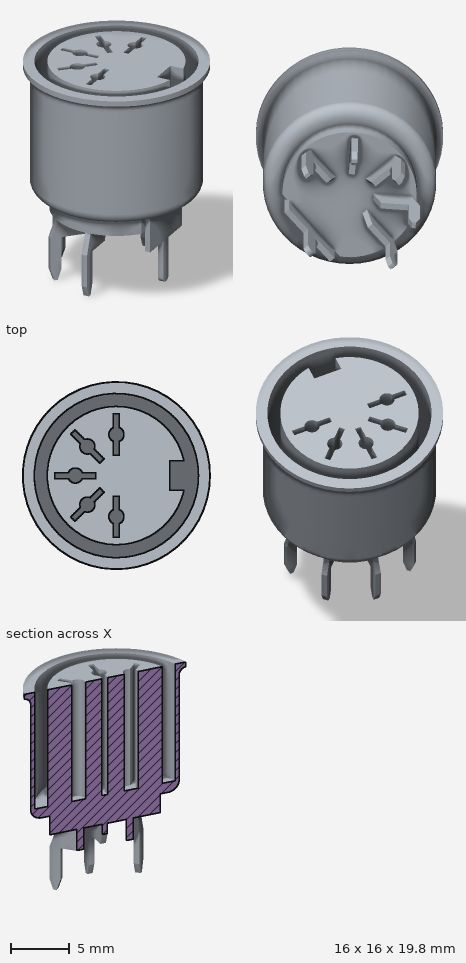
import cadquery as cq
import math

total_height = 19.8
shell_bottom = 7.76
boss_bottom = 6.0
shelf_height = 4.0
tip_height = 0.99

flange_radius = 8.0
flange_thickness = 0.5
shell_radius = 7.4
wall = 0.4
bend_radius = flange_radius - shell_radius
base_fillet = 1.0
cavity_radius = shell_radius - wall
cavity_floor = shell_bottom + base_fillet

insert_radius = 5.9
boss_radius = 5.75
boss_flat_x = 4.32

key_width = 2.51
key_inner_x = 4.53

sheet = 0.51
contact_radius = 3.5
contact_hole_diameter = 1.29
slot_length = 3.5
contact_angles = [90, 135, 180, 225, 270]

pin_outer_radius = 6.0
pin_width = 0.99
pin_tip_width = 0.32
crank_offset = 0.71
blade_inner_radius = 2.7

tab_outer_x = 4.75
tab_width = 5.94


def make_shell():
    """Revolve the cup section, with its rounded base and flared flange."""
    diagonal = math.sqrt(0.5)
    flange_underside = total_height - flange_thickness
    bend_start = flange_underside - bend_radius
    base_centre = (shell_radius - base_fillet, shell_bottom + base_fillet)
    base_middle = (
        base_centre[0] + base_fillet * diagonal,
        base_centre[1] - base_fillet * diagonal,
    )
    bend_middle = (
        flange_radius - bend_radius * diagonal,
        bend_start + bend_radius * diagonal,
    )
    section = (
        cq.Workplane("XZ")
        .moveTo(0, shell_bottom)
        .lineTo(base_centre[0], shell_bottom)
        .threePointArc(base_middle, (shell_radius, base_centre[1]))
        .lineTo(shell_radius, bend_start)
        .threePointArc(bend_middle, (flange_radius, flange_underside))
        .lineTo(flange_radius, total_height)
        .lineTo(cavity_radius, total_height)
        .lineTo(cavity_radius, cavity_floor)
        .lineTo(0, cavity_floor)
        .close()
    )
    return section.revolve(360, (0, 0), (0, 1))


def make_insert():
    """Cylinder flush with the flange, with a keyway and five contact openings."""
    depth = total_height - cavity_floor
    insert = cq.Workplane("XY").workplane(offset=shell_bottom).circle(insert_radius)
    insert = insert.extrude(total_height - shell_bottom)
    key_length = insert_radius - key_inner_x
    opening_plane = cq.Workplane("XY").workplane(offset=cavity_floor)
    keyway = (
        opening_plane.center(key_inner_x + key_length / 2, 0)
        .rect(key_length, key_width)
        .extrude(depth)
    )
    contact_centre = opening_plane.center(contact_radius, 0)
    slot = contact_centre.rect(slot_length, sheet).extrude(depth)
    opening = contact_centre.circle(contact_hole_diameter / 2).extrude(depth).union(slot)
    insert = insert.cut(keyway)
    for angle in contact_angles:
        insert = insert.cut(opening.rotate((0, 0, 0), (0, 0, 1), angle))
    return insert


def make_boss():
    """Short cylinder below the shell with a flat on its +X side."""
    height = shell_bottom - boss_bottom
    boss = cq.Workplane("XY").workplane(offset=boss_bottom).circle(boss_radius).extrude(height)
    keep_length = boss_radius + boss_flat_x
    keep = (
        cq.Workplane("XY")
        .workplane(offset=boss_bottom)
        .center(boss_flat_x - keep_length / 2, 0)
        .rect(keep_length, 2 * boss_radius)
        .extrude(height)
    )
    return boss.intersect(keep)


def make_blade():
    """Contact blade lying along +X."""
    pin_centre = pin_outer_radius - pin_width / 2
    pin_inner = pin_outer_radius - pin_width
    outline = [
        (pin_outer_radius - crank_offset, boss_bottom),
        (pin_outer_radius, shelf_height),
        (pin_outer_radius, tip_height),
        (pin_centre + pin_tip_width / 2, 0),
        (pin_centre - pin_tip_width / 2, 0),
        (pin_inner, tip_height),
        (pin_inner, shelf_height),
        (blade_inner_radius, shelf_height),
        (blade_inner_radius - crank_offset, boss_bottom),
    ]
    return cq.Workplane("XZ").polyline(outline).close().extrude(sheet / 2, both=True)


def make_ground_tab():
    """Plate against the boss flat, ending in a pin with a full-round tip."""
    half_pin = pin_width / 2
    half_tab = tab_width / 2
    outline = (
        cq.Workplane("YZ")
        .workplane(offset=tab_outer_x - sheet)
        .moveTo(-half_tab, shell_bottom)
        .lineTo(-half_tab, shelf_height)
        .lineTo(-half_pin, shelf_height)
        .lineTo(-half_pin, half_pin)
        .threePointArc((0, 0), (half_pin, half_pin))
        .lineTo(half_pin, shelf_height)
        .lineTo(half_tab, shelf_height)
        .lineTo(half_tab, shell_bottom)
        .close()
    )
    return outline.extrude(sheet)


blade = make_blade()
result = make_shell().union(make_insert()).union(make_boss()).union(make_ground_tab())
for blade_angle in contact_angles:
    result = result.union(blade.rotate((0, 0, 0), (0, 0, 1), blade_angle))